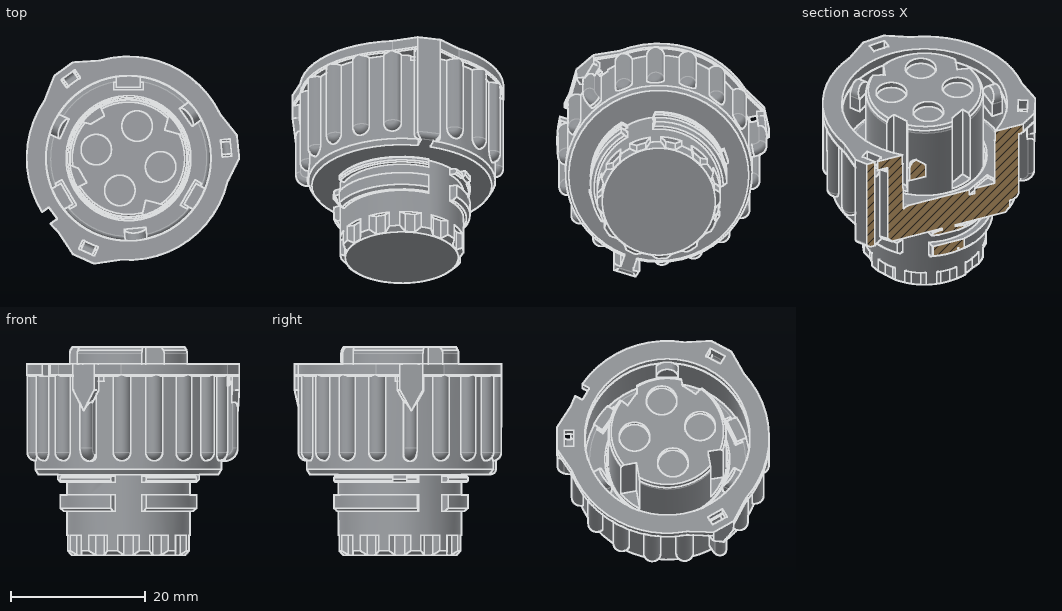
import cadquery as cq
import math

CASTLE_TOP_Z = 3.0
SKIRT_BOTTOM_Z = 12.0
FLOOR_Z = 18.3
FLANGE_BOTTOM_Z = 26.65
FLANGE_TOP_Z = 28.47
PLUG_TOP_Z = 31.0

TUBE_R = 9.17
SKIRT_R = 13.87
FLANGE_R = 15.14
BORE_R = 12.24
FLANGE_BORE_R = 12.29
PLUG_R = 8.75

SKIRT_CHAMFER_R = 0.5
SKIRT_CHAMFER_H = 0.8
FLOOR_EDGE_ROUND = 0.65
GASKET_R = 9.29
GASKET_LIP_R = 9.03
GASKET_LIP_H = 0.4
GASKET_DEPTH = 2.0

TIP_R = 8.35
TIP_SHOULDER_R = 8.67
TIP_SHOULDER_Z = 30.47
TIP_START_Z = 30.07

TUBE_END_R = 8.4
TUBE_END_BEVEL_H = 0.7
CASTLE_COUNT = 12
CASTLE_FLOOR_R = 8.45
CASTLE_FLOOR_HALF = 0.73
CASTLE_MOUTH_HALF = 1.6

RING_R = 10.15
SEAL_RING_BOTTOM_Z = 10.9
SEAL_RING_TOP_Z = 11.8
SEAL_RING_BEVEL = 0.22
LATCH_RING_BOTTOM_Z = 6.55
LATCH_RING_TOP_Z = 9.0
LATCH_RING_BEVEL_R = 0.55
LATCH_RING_BEVEL_H = 0.5
RING_GAP_ANGLES = (30, 150, 270)
GAP_INNER_HALF = 1.97
GAP_OUTER_HALF = 2.64
GAP_OUTER_R = 9.78
NUB_R = 10.54
NUB_WIDTH = 2.1
NUB_BEVEL = 0.44
NUB_ANGLES = (0, 180)

RIB_COUNT = 18
RIB_PHASE = 6
RIB_R = 1.3
RIB_TIP_R = 15.13
RIB_END_Z = 15.36

LOBE_ANGLES = (6, 126, 246)
LONG_LOBE_ANGLE = 126
LOBE_CORNER_R = 16.49
LOBE_CORNER_HALF_ANGLE = 6
LOBE_FOOT_HALF_ANGLE = 19.6
FLANGE_BEVEL = 0.2
LOBE_FACE_R = LOBE_CORNER_R * math.cos(math.radians(LOBE_CORNER_HALF_ANGLE))
LOBE_HALF_WIDTH = LOBE_CORNER_R * math.sin(math.radians(LOBE_CORNER_HALF_ANGLE))
SHIELD_THICKNESS = 1.1
SHIELD_FLARE = 0.25
SHIELD_FLARE_ANGLE = math.degrees(math.atan(SHIELD_FLARE / SHIELD_THICKNESS))
SHIELD_INNER_R = LOBE_FACE_R - SHIELD_THICKNESS
SHIELD_SHOULDER_Z = 24.6
SHIELD_TIP_Z = 21.5
LOBE_RIB_HALF = 0.95
LOBE_RIB_TIP_R = 16.35
LOBE_RIB_BEND_R = 2.0
LOBE_RIB_BEND_Z = 16.0
LOBE_RIB_ROOT_R = 13.0
LOBE_RIB_ROOT_ROUND = 0.9

SLOT_INNER_R = 13.9
SLOT_OUTER_R = SHIELD_INNER_R
SLOT_LENGTH = 2.5
SLOT_FLOOR_Z = 25.2
SLOT_POCKET_R = 13.4
SLOT_POCKET_LENGTH = 4.2
SLOT_POCKET_Z = 25.9

RIM_NOTCH_ANGLE = 216
RIM_NOTCH_WIDTH = 2.1

LUG_ANGLES = (35.4, 155.4, 275.4)
LUG_INNER_R = 10.45
LUG_CREST_R = 11.15
LUG_WIDTH = 3.25
LUG_BOTTOM_Z = 23.0
LUG_TOP_Z = 27.0
KEY_ANGLES = (90, 210, 330)
KEY_INNER_R = 10.57
KEY_WIDTH = 3.55
KEY_CLEARANCE = 0.4
KEY_RECESS_DEPTH = 1.0
KEY_RECESS_OUTER_R = 11.3

HOLE_COUNT = 4
HOLE_CIRCLE_R = 4.95
HOLE_PHASE = 75
HOLE_D = 4.54
HOLE_DEPTH = 1.0
KEYWAYS = (
    ((-4.6, 8.65), (-3.56, 6.29), (-5.6, 5.07), (-7.0, 5.42), (-8.2, 6.2)),
    ((6.3, 7.5), (5.38, 4.18), (8.7, 3.25)),
    ((-9.0, -0.9), (-7.44, -1.49), (-6.18, -3.64), (-8.4, -4.7)),
    ((1.9, -8.95), (2.56, -6.22), (5.9, -7.1)),
)

OVERLAP = 0.3
CUT_REACH = 3.0


def revolved(points):
    """Solid of revolution about Z from (radius, height) points."""
    return cq.Workplane("XZ").polyline(points).close().revolve(360, (0, 0, 0), (0, 1, 0))


def disc(radius, bottom, top):
    return cq.Workplane("XY").workplane(offset=bottom).circle(radius).extrude(top - bottom)


def radial_block(inner, outer, width, bottom, top):
    """Box on the +X side, from one radius to another."""
    size = (outer - inner, width, top - bottom)
    centre = ((inner + outer) / 2, 0, (bottom + top) / 2)
    return cq.Workplane("XY").box(*size).translate(centre)


def about_z(shape, angle):
    return shape.rotate((0, 0, 0), (0, 0, 1), angle)


def polar(radius, angle):
    a = math.radians(angle)
    return (radius * math.cos(a), radius * math.sin(a))


def make_core():
    """Tube, skirt with its cavity, and the central plug."""
    floor_edge_r = BORE_R - FLOOR_EDGE_ROUND
    floor_edge_z = FLOOR_Z - FLOOR_EDGE_ROUND
    arc_offset = FLOOR_EDGE_ROUND * math.sqrt(0.5)
    return (
        cq.Workplane("XZ")
        .polyline([
            (0, 0),
            (TUBE_END_R, 0),
            (TUBE_R, TUBE_END_BEVEL_H),
            (TUBE_R, SKIRT_BOTTOM_Z),
            (SKIRT_R - SKIRT_CHAMFER_R, SKIRT_BOTTOM_Z),
            (SKIRT_R, SKIRT_BOTTOM_Z + SKIRT_CHAMFER_H),
            (SKIRT_R, FLANGE_TOP_Z),
            (FLANGE_BORE_R, FLANGE_TOP_Z),
            (FLANGE_BORE_R, FLANGE_BOTTOM_Z),
            (BORE_R, FLANGE_BOTTOM_Z),
            (BORE_R, floor_edge_z),
        ])
        .threePointArc(
            (floor_edge_r + arc_offset, floor_edge_z + arc_offset),
            (floor_edge_r, FLOOR_Z),
        )
        .lineTo(GASKET_R, FLOOR_Z)
        .lineTo(GASKET_LIP_R, FLOOR_Z - GASKET_LIP_H)
        .lineTo(PLUG_R, FLOOR_Z - GASKET_DEPTH)
        .lineTo(PLUG_R, TIP_START_Z)
        .lineTo(TIP_SHOULDER_R, TIP_SHOULDER_Z)
        .lineTo(TIP_R, PLUG_TOP_Z)
        .lineTo(0, PLUG_TOP_Z)
        .close()
        .revolve(360, (0, 0, 0), (0, 1, 0))
    )


def make_castellation_cutters():
    """Flared grooves around the end of the tube."""
    mouth_r = math.sqrt(TUBE_R**2 - CASTLE_MOUTH_HALF**2)
    flare = (CASTLE_MOUTH_HALF - CASTLE_FLOOR_HALF) / (mouth_r - CASTLE_FLOOR_R)
    outer_r = mouth_r + OVERLAP
    outer_half = CASTLE_MOUTH_HALF + flare * OVERLAP
    groove = (
        cq.Workplane("XY")
        .polyline([
            (CASTLE_FLOOR_R, -CASTLE_FLOOR_HALF),
            (outer_r, -outer_half),
            (outer_r, outer_half),
            (CASTLE_FLOOR_R, CASTLE_FLOOR_HALF),
        ])
        .close()
        .extrude(CASTLE_TOP_Z)
    )
    pitch = 360 / CASTLE_COUNT
    return [about_z(groove, i * pitch) for i in range(CASTLE_COUNT)]


def make_rings():
    """Seal ring and latch ring, each broken by three flared gaps."""
    inner_r = TUBE_R - OVERLAP
    seal_ring = revolved([
        (inner_r, SEAL_RING_BOTTOM_Z),
        (RING_R - SEAL_RING_BEVEL, SEAL_RING_BOTTOM_Z),
        (RING_R, SEAL_RING_BOTTOM_Z + SEAL_RING_BEVEL),
        (RING_R, SEAL_RING_TOP_Z - SEAL_RING_BEVEL),
        (RING_R - SEAL_RING_BEVEL, SEAL_RING_TOP_Z),
        (inner_r, SEAL_RING_TOP_Z),
    ])
    latch_ring = revolved([
        (inner_r, LATCH_RING_BOTTOM_Z),
        (RING_R - LATCH_RING_BEVEL_R, LATCH_RING_BOTTOM_Z),
        (RING_R, LATCH_RING_BOTTOM_Z + LATCH_RING_BEVEL_H),
        (RING_R, LATCH_RING_TOP_Z),
        (inner_r, LATCH_RING_TOP_Z),
    ])
    rings = seal_ring.add(latch_ring).combine()

    gap_inner_r = math.sqrt(TUBE_R**2 - GAP_INNER_HALF**2)
    flare = (GAP_OUTER_HALF - GAP_INNER_HALF) / (GAP_OUTER_R - gap_inner_r)
    near_r = inner_r - OVERLAP
    far_r = RING_R + OVERLAP
    near_half = GAP_INNER_HALF - flare * (gap_inner_r - near_r)
    far_half = GAP_INNER_HALF + flare * (far_r - gap_inner_r)
    gap = (
        cq.Workplane("XY")
        .polyline([(near_r, -near_half), (far_r, -far_half), (far_r, far_half), (near_r, near_half)])
        .close()
        .extrude(SKIRT_BOTTOM_Z)
    )
    for angle in RING_GAP_ANGLES:
        rings = rings.cut(about_z(gap, angle))
    return rings


def make_nub():
    """Small stop that projects from the seal ring."""
    nub = radial_block(TUBE_R - OVERLAP, NUB_R, NUB_WIDTH, SEAL_RING_BOTTOM_Z, SKIRT_BOTTOM_Z)
    return nub.edges(">X and <Z").chamfer(NUB_BEVEL)


def make_grip_rib():
    """Round vertical rib with a ball end at the bottom."""
    height = FLANGE_BOTTOM_Z + OVERLAP - RIB_END_Z
    bar = cq.Workplane("XY").circle(RIB_R).extrude(height)
    rib = bar.union(cq.Workplane("XY").sphere(RIB_R))
    rib = rib.translate((RIB_TIP_R - RIB_R, 0, RIB_END_Z))
    return rib.cut(disc(BORE_R + OVERLAP, 0, FLANGE_TOP_Z))


def make_flange():
    """Round rim with three flat nosed lobes, bevelled below, without its bore."""
    flange = disc(FLANGE_R, FLANGE_BOTTOM_Z, FLANGE_TOP_Z)
    for angle in LOBE_ANGLES:
        lobe = (
            cq.Workplane("XY")
            .workplane(offset=FLANGE_BOTTOM_Z)
            .polyline([
                (0, 0),
                polar(FLANGE_R, angle - LOBE_FOOT_HALF_ANGLE),
                polar(LOBE_CORNER_R, angle - LOBE_CORNER_HALF_ANGLE),
                polar(LOBE_CORNER_R, angle + LOBE_CORNER_HALF_ANGLE),
                polar(FLANGE_R, angle + LOBE_FOOT_HALF_ANGLE),
            ])
            .close()
            .extrude(FLANGE_TOP_Z - FLANGE_BOTTOM_Z)
        )
        flange = flange.union(lobe)
    flange = flange.faces("<Z").chamfer(FLANGE_BEVEL)
    return flange.cut(disc(FLANGE_BORE_R, FLANGE_BOTTOM_Z, FLANGE_TOP_Z))


def make_shield():
    """Pointed plate under the flat nose of a lobe; it widens towards the skirt."""
    root_z = FLANGE_BOTTOM_Z + OVERLAP
    return (
        cq.Workplane("YZ")
        .workplane(offset=LOBE_FACE_R)
        .polyline([
            (-LOBE_HALF_WIDTH, root_z),
            (-LOBE_HALF_WIDTH, SHIELD_SHOULDER_Z),
            (0, SHIELD_TIP_Z),
            (LOBE_HALF_WIDTH, SHIELD_SHOULDER_Z),
            (LOBE_HALF_WIDTH, root_z),
        ])
        .close()
        .extrude(-SHIELD_THICKNESS, taper=-SHIELD_FLARE_ANGLE)
    )


def lobe_rib_outline(axis_r):
    """Closed wire of the part of a lobe rib beyond its bend axis: straight sides, round nose."""
    nose_centre_r = LOBE_RIB_TIP_R - LOBE_RIB_HALF
    return (
        cq.Workplane("XY")
        .workplane(offset=LOBE_RIB_BEND_Z)
        .moveTo(axis_r, -LOBE_RIB_HALF)
        .lineTo(nose_centre_r, -LOBE_RIB_HALF)
        .threePointArc((LOBE_RIB_TIP_R, 0), (nose_centre_r, LOBE_RIB_HALF))
        .lineTo(axis_r, LOBE_RIB_HALF)
        .close()
    )


def make_lobe_rib():
    """Deep round nosed rib under a lobe; its foot bends back into the skirt."""
    bend_axis_r = LOBE_RIB_TIP_R - LOBE_RIB_BEND_R
    post_height = FLANGE_BOTTOM_Z + OVERLAP - LOBE_RIB_BEND_Z
    post = lobe_rib_outline(bend_axis_r).extrude(post_height)
    foot = lobe_rib_outline(bend_axis_r).revolve(90, (bend_axis_r, 0, 0), (bend_axis_r, 1, 0))
    root = radial_block(
        LOBE_RIB_ROOT_R,
        bend_axis_r,
        2 * LOBE_RIB_HALF,
        LOBE_RIB_BEND_Z - LOBE_RIB_BEND_R,
        FLANGE_BOTTOM_Z + OVERLAP,
    )
    root = root.edges("|X and <Z").fillet(LOBE_RIB_ROOT_ROUND)
    return root.union(post).union(foot)


def make_long_lobe_post():
    """Full height plate and web under the third lobe."""
    inner_half_width = LOBE_HALF_WIDTH + SHIELD_FLARE
    plate = (
        cq.Workplane("XY")
        .workplane(offset=SKIRT_BOTTOM_Z)
        .polyline([
            (SHIELD_INNER_R, -inner_half_width),
            (LOBE_FACE_R, -LOBE_HALF_WIDTH),
            (LOBE_FACE_R, LOBE_HALF_WIDTH),
            (SHIELD_INNER_R, inner_half_width),
        ])
        .close()
        .extrude(FLANGE_BOTTOM_Z + OVERLAP - SKIRT_BOTTOM_Z)
    )
    plate = plate.faces("<Z").edges("not <X").fillet(SKIRT_CHAMFER_H)
    web = radial_block(
        LOBE_RIB_ROOT_R, SHIELD_INNER_R, 2 * LOBE_RIB_HALF, SKIRT_BOTTOM_Z, FLANGE_BOTTOM_Z + OVERLAP
    )
    return plate.union(web)


def make_tie_slot_cutter():
    """Slot through a lobe that opens sideways below the flange, with a round floor."""
    floor_radius = (SLOT_OUTER_R - SLOT_INNER_R) / 2
    round_centre_z = SLOT_FLOOR_Z + floor_radius
    slot = radial_block(SLOT_INNER_R, SLOT_OUTER_R, SLOT_LENGTH, round_centre_z, FLANGE_TOP_Z)
    round_floor = (
        cq.Workplane("XZ")
        .center((SLOT_INNER_R + SLOT_OUTER_R) / 2, round_centre_z)
        .circle(floor_radius)
        .extrude(SLOT_LENGTH / 2, both=True)
    )
    pocket = radial_block(
        SLOT_POCKET_R, SHIELD_INNER_R, SLOT_POCKET_LENGTH, SLOT_POCKET_Z, FLANGE_BOTTOM_Z
    )
    return slot.union(round_floor).union(pocket)


def make_lug():
    """Bayonet lug on the bore wall: round topped, its inner face leaning outwards."""
    half_width = LUG_WIDTH / 2
    arch_start_z = LUG_TOP_Z - half_width
    lug = (
        cq.Workplane("YZ")
        .workplane(offset=LUG_INNER_R)
        .moveTo(-half_width, LUG_BOTTOM_Z)
        .lineTo(-half_width, arch_start_z)
        .threePointArc((0, LUG_TOP_Z), (half_width, arch_start_z))
        .lineTo(half_width, LUG_BOTTOM_Z)
        .close()
        .extrude(BORE_R + OVERLAP - LUG_INNER_R)
    )
    lean = (
        cq.Workplane("XZ")
        .polyline([
            (LUG_INNER_R, arch_start_z),
            (LUG_CREST_R, LUG_TOP_Z),
            (LUG_INNER_R, LUG_TOP_Z),
        ])
        .close()
        .extrude(half_width, both=True)
    )
    return lug.cut(lean)


def add_floor_keys(body):
    """Keys that stand in slightly larger recesses of the cavity floor."""
    recess_bottom_z = FLOOR_Z - KEY_RECESS_DEPTH
    recess = radial_block(
        KEY_INNER_R - KEY_CLEARANCE,
        KEY_RECESS_OUTER_R,
        KEY_WIDTH + 2 * KEY_CLEARANCE,
        recess_bottom_z,
        FLOOR_Z,
    )
    key = radial_block(KEY_INNER_R, BORE_R + OVERLAP, KEY_WIDTH, recess_bottom_z - OVERLAP, FLOOR_Z)
    for angle in KEY_ANGLES:
        body = body.cut(about_z(recess, angle))
        body = body.union(about_z(key, angle))
    return body


def make_keyway_cutter(corners):
    return (
        cq.Workplane("XY")
        .workplane(offset=FLOOR_Z)
        .polyline(corners)
        .close()
        .extrude(PLUG_TOP_Z - FLOOR_Z)
    )


def add_grip(body):
    """Ribs around the skirt, the lobed flange and the posts below its lobes."""
    grip_rib = make_grip_rib()
    for i in range(RIB_COUNT):
        angle = RIB_PHASE + i * 360 / RIB_COUNT
        if round(angle) not in LOBE_ANGLES:
            body = body.union(about_z(grip_rib, angle))

    body = body.union(make_flange())
    short_post = make_lobe_rib().union(make_shield())
    long_post = make_long_lobe_post()
    tie_slot = make_tie_slot_cutter()
    for angle in LOBE_ANGLES:
        post = long_post if angle == LONG_LOBE_ANGLE else short_post
        body = body.union(about_z(post, angle))
        body = body.cut(about_z(tie_slot, angle))

    rim_notch = radial_block(
        SKIRT_R, FLANGE_R + CUT_REACH, RIM_NOTCH_WIDTH, FLANGE_BOTTOM_Z, FLANGE_TOP_Z
    )
    return body.cut(about_z(rim_notch, RIM_NOTCH_ANGLE))


def add_tube_details(body):
    """End castellations, rings and ring stops on the tube."""
    for groove in make_castellation_cutters():
        body = body.cut(groove)
    body = body.union(make_rings())
    nub = make_nub()
    for angle in NUB_ANGLES:
        body = body.union(about_z(nub, angle))
    return body


def add_cavity_details(body):
    """Floor keys, bayonet lugs, plug keyways and contact holes."""
    body = add_floor_keys(body)
    lug = make_lug()
    for angle in LUG_ANGLES:
        body = body.union(about_z(lug, angle))
    for corners in KEYWAYS:
        body = body.cut(make_keyway_cutter(corners))
    for i in range(HOLE_COUNT):
        x, y = polar(HOLE_CIRCLE_R, HOLE_PHASE + i * 360 / HOLE_COUNT)
        hole = disc(HOLE_D / 2, PLUG_TOP_Z - HOLE_DEPTH, PLUG_TOP_Z)
        body = body.cut(hole.translate((x, y, 0)))
    return body


result = add_cavity_details(add_tube_details(add_grip(make_core())))